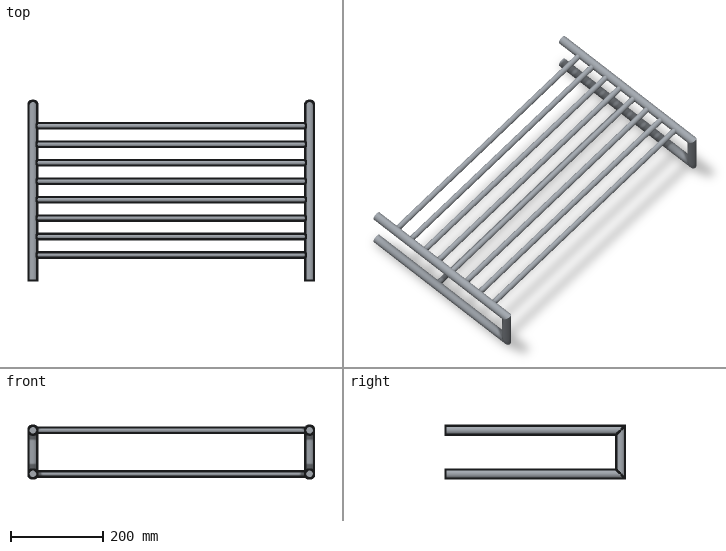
import cadquery as cq

width = 620.0
depth = 390.0
height = 115.0

tube_diameter = 20.0
tube_radius = tube_diameter / 2
frame_x = width / 2 - tube_radius
back_y = depth - tube_radius
rail_z = height / 2 - tube_radius

rod_diameter = 12.5
rod_count = 8
first_rod_y = 55.0
rod_row_length = 280.0
rod_pitch = rod_row_length / (rod_count - 1)
lower_rod_index = 3


def side_frame(x):
    """U-shaped frame, open at the front, in the plane at the given x."""
    path = cq.Workplane("YZ", origin=(x, 0, 0)).polyline(
        [(0, rail_z), (back_y, rail_z), (back_y, -rail_z), (0, -rail_z)]
    )
    profile = cq.Workplane("XZ", origin=(x, 0, rail_z)).circle(tube_radius)
    return profile.sweep(path, transition="right")


def cross_rod(y, z):
    """Rod joining the centre lines of the two frames."""
    start = cq.Workplane("YZ", origin=(-frame_x, y, z))
    return start.circle(rod_diameter / 2).extrude(2 * frame_x)


rod_positions = [first_rod_y + index * rod_pitch for index in range(rod_count)]

result = side_frame(-frame_x).union(side_frame(frame_x))
for rod_y in rod_positions:
    result = result.union(cross_rod(rod_y, rail_z))
result = result.union(cross_rod(rod_positions[lower_rod_index], -rail_z))